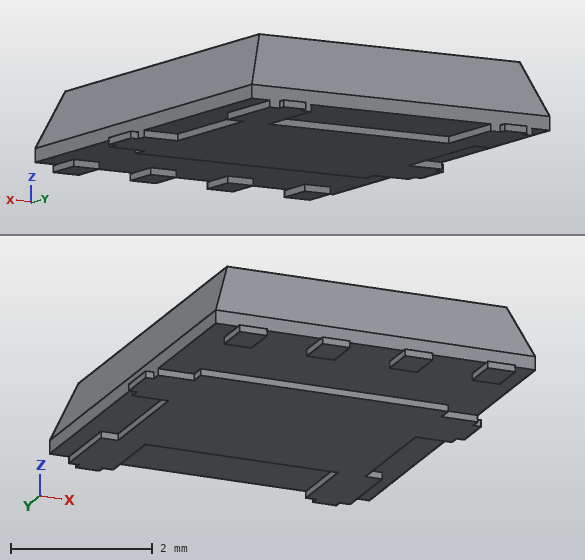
import cadquery as cq

housing_length_x = 4.91
housing_length_y = 5.92
housing_top_z = 1.1
wall_height = 0.2
top_inset = 0.31

metal_thickness = 0.1

lead_count = 4
lead_pitch = 1.27
lead_width = 0.42
lead_length = 0.56
lead_overhang = 0.07

pad_width = 3.8
pad_to_lead_gap = 1.33
tie_overhang = 0.12
tie_root_margin = 0.16
side_tie_width = 0.6
side_tie_center_y = -0.445
rear_tie_width = 0.36
rear_tie_spacing = 3.64
rear_root_length = 1.15

half_x = housing_length_x / 2
half_y = housing_length_y / 2
lead_front_y = -half_y - lead_overhang
pad_front_y = lead_front_y + lead_length + pad_to_lead_gap
pad_rear_y = half_y - rear_root_length


def metal_strip(center_x, width, y_min, y_max):
    """Flat rectangular strip standing on Z = 0, centred on center_x."""
    return (
        cq.Workplane("XY", origin=(center_x, (y_min + y_max) / 2, 0))
        .rect(width, y_max - y_min)
        .extrude(metal_thickness)
    )


def make_housing():
    wall = (
        cq.Workplane("XY", origin=(0, 0, metal_thickness))
        .rect(housing_length_x, housing_length_y)
        .extrude(wall_height)
    )
    taper_height = housing_top_z - metal_thickness - wall_height
    return (
        wall.faces(">Z").workplane()
        .rect(housing_length_x, housing_length_y)
        .workplane(offset=taper_height)
        .rect(housing_length_x - 2 * top_inset, housing_length_y - 2 * top_inset)
        .loft(combine=True)
    )


def side_tie(reach_x, width):
    """Bar across the pad, reaching out to both X sides."""
    return metal_strip(0, 2 * reach_x, side_tie_center_y - width / 2, side_tie_center_y + width / 2)


def rear_tie(center_x, reach_y, width):
    """Bar from the rear of the pad towards +Y."""
    return metal_strip(center_x, width, pad_rear_y, reach_y)


def make_drain_pad():
    """Pad whose tie bars have wide roots ending flush with the housing walls."""
    side_root_width = side_tie_width + 2 * tie_root_margin
    rear_root_width = rear_tie_width + 2 * tie_root_margin
    pad = metal_strip(0, pad_width, pad_front_y, pad_rear_y)
    pad = pad.union(side_tie(half_x, side_root_width))
    pad = pad.union(side_tie(half_x + tie_overhang, side_tie_width))
    for center_x in (-rear_tie_spacing / 2, rear_tie_spacing / 2):
        pad = pad.union(rear_tie(center_x, half_y, rear_root_width))
        pad = pad.union(rear_tie(center_x, half_y + tie_overhang, rear_tie_width))
    return pad


def make_lead(index):
    center_x = (index - (lead_count - 1) / 2) * lead_pitch
    return metal_strip(center_x, lead_width, lead_front_y, lead_front_y + lead_length)


package = make_housing().union(make_drain_pad(), clean=False)
leads = [make_lead(index) for index in range(lead_count)]

result = cq.Compound.makeCompound([*package.solids().vals(), *[lead.val() for lead in leads]])